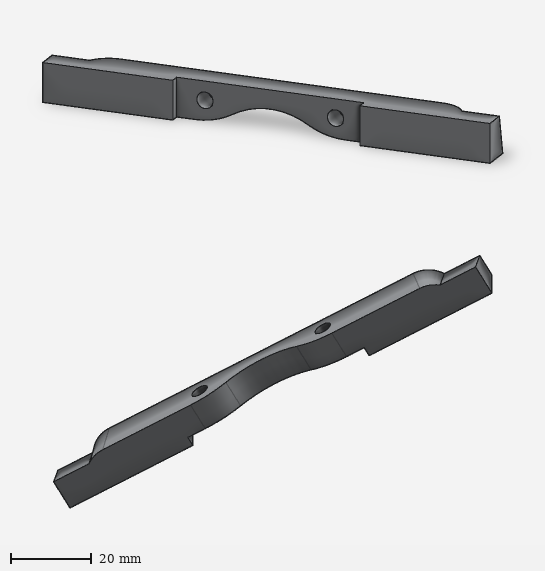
import cadquery as cq
import math

length = 120.0
depth = 10.0
height = 10.5

recess_width = 50.2
recess_depth = 2.5

hole_spacing = 35.0
hole_diameter = 4.3
arch_height = 5.4
arch_radius = 20.0
hole_height = arch_height

relief_length = 10.1
relief_top_y = 6.1
relief_bottom_y = 8.3
runout_radius = 7.8


def arch_cutter():
    """Arch of three tangent arcs, all of one radius, running through the bar in Y."""
    sweep = math.acos(1 - arch_height / (2 * arch_radius))
    half_span = 2 * arch_radius * math.sin(sweep)
    foot_x = half_span - arch_radius * math.sin(sweep / 2)
    foot_z = arch_radius * (1 - math.cos(sweep / 2))
    return (
        cq.Workplane("XZ")
        .moveTo(-half_span, 0)
        .threePointArc((-foot_x, foot_z), (-half_span / 2, arch_height / 2))
        .threePointArc((0, arch_height), (half_span / 2, arch_height / 2))
        .threePointArc((foot_x, foot_z), (half_span, 0))
        .close()
        .extrude(-depth)
    )


def relief_profile(plane, relief_y):
    """Left end relief outline, with an arc that runs out tangent to the back face."""
    end_x = -length / 2
    step_x = end_x + relief_length
    sweep = math.acos(1 - (depth - relief_y) / runout_radius)
    tangent_x = step_x + runout_radius * math.sin(sweep)
    middle = (
        tangent_x - runout_radius * math.sin(sweep / 2),
        depth - runout_radius * (1 - math.cos(sweep / 2)),
    )
    return (
        plane.moveTo(end_x, relief_y)
        .lineTo(step_x, relief_y)
        .threePointArc(middle, (tangent_x, depth))
        .lineTo(end_x, depth)
        .close()
    )


def relief_cutter():
    """Ruled solid between the lower and upper relief outlines."""
    lower = relief_profile(cq.Workplane("XY"), relief_bottom_y)
    upper = relief_profile(lower.workplane(offset=height, origin=(0, 0, 0)), relief_top_y)
    return upper.loft(ruled=True)


bar = cq.Workplane("XY").box(length, depth, height, centered=(True, False, False))
recess = cq.Workplane("XY").box(recess_width, recess_depth, height, centered=(True, False, False))
holes = (
    cq.Workplane("XZ")
    .pushPoints([(side * hole_spacing / 2, hole_height) for side in (-1, 1)])
    .circle(hole_diameter / 2)
    .extrude(-depth)
)
left_relief = relief_cutter()
right_relief = left_relief.mirror("YZ")

result = bar.cut(recess).cut(holes).cut(arch_cutter()).cut(left_relief).cut(right_relief)